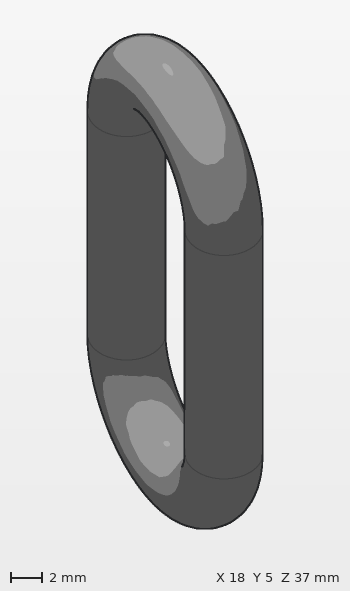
import cadquery as cq

link_length = 37.0
link_width = 18.0
wire_diameter = 5.0

bend_radius = (link_width - wire_diameter) / 2
straight_length = link_length - link_width
half_straight = straight_length / 2
bend_top = half_straight + bend_radius


def wire_centreline():
    """Closed oval path through the centre of the wire, starting mid-height on +X."""
    return (
        cq.Workplane("XZ")
        .moveTo(bend_radius, 0)
        .lineTo(bend_radius, half_straight)
        .threePointArc((0, bend_top), (-bend_radius, half_straight))
        .lineTo(-bend_radius, -half_straight)
        .threePointArc((0, -bend_top), (bend_radius, -half_straight))
        .close()
    )


result = (
    cq.Workplane("XY")
    .center(bend_radius, 0)
    .circle(wire_diameter / 2)
    .sweep(wire_centreline())
)